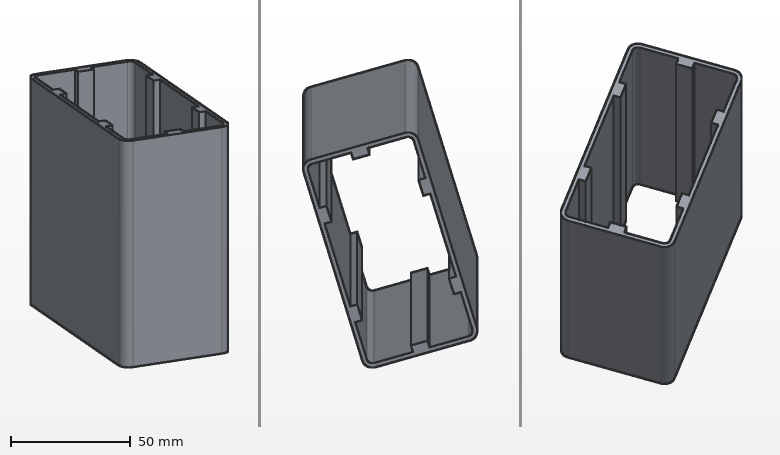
import cadquery as cq

length = 95.0
width = 50.0
height = 100.0
wall = 2.0
outer_radius = 4.5
inner_radius = outer_radius - wall

rib_width = 7.2
rib_depth = 3.0
rib_spacing = 45.0


def rounded_block(size_x, size_y, radius):
    """Full-height block with rounded vertical edges."""
    return cq.Workplane("XY").rect(size_x, size_y).extrude(height).edges("|Z").fillet(radius)


def ribs(size_x, size_y, centers):
    """Full-height ribs, each rooted in the middle of the wall."""
    return cq.Workplane("XY").pushPoints(centers).rect(size_x, size_y).extrude(height)


outer = rounded_block(length, width, outer_radius)
cavity = rounded_block(length - 2 * wall, width - 2 * wall, inner_radius)
tube = outer.cut(cavity)

root = wall / 2
rib_size = rib_depth + root
rib_inset = root + rib_size / 2
long_wall_y = width / 2 - rib_inset
short_wall_x = length / 2 - rib_inset

long_wall_centers = [
    (side_x * rib_spacing / 2, side_y * long_wall_y) for side_x in (-1, 1) for side_y in (-1, 1)
]
short_wall_centers = [(side * short_wall_x, 0) for side in (-1, 1)]

result = tube.union(ribs(rib_width, rib_size, long_wall_centers))
result = result.union(ribs(rib_size, rib_width, short_wall_centers))